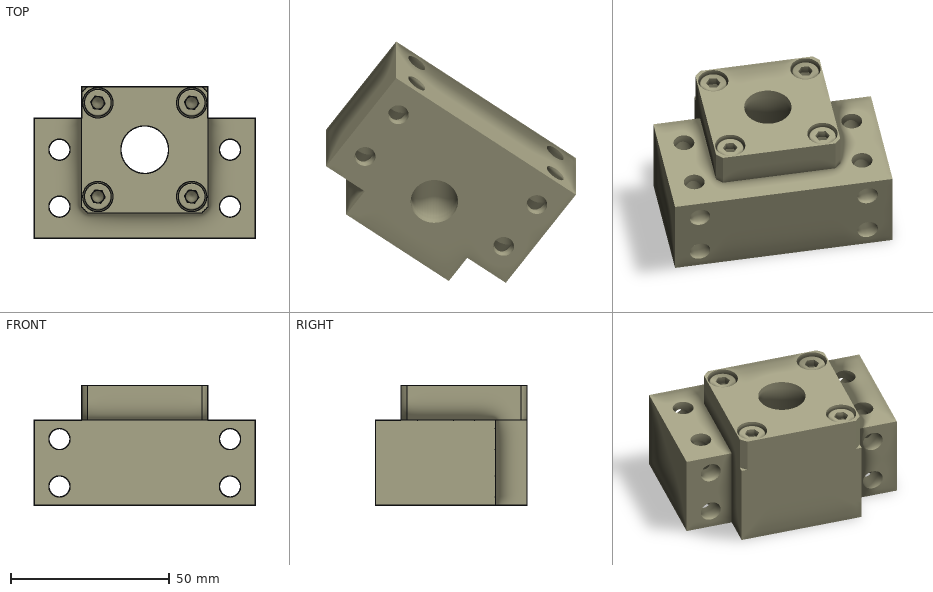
import cadquery as cq
import math

BLOCK_WIDTH = 70.0
BLOCK_DEPTH = 38.0
BLOCK_HEIGHT = 27.0
BOSS_WIDTH = 40.0
TOTAL_DEPTH = 48.0
TOTAL_HEIGHT = 38.0

BORE_DIAMETER = 15.0
BORE_Y = TOTAL_DEPTH - BOSS_WIDTH / 2

MOUNT_DIAMETER = 6.6
MOUNT_SPACING = 54.0
VERTICAL_HOLE_YS = (10.0, BORE_Y)
CROSS_HOLE_ZS = (6.0, 21.0)

COVER_THICKNESS = TOTAL_HEIGHT - BLOCK_HEIGHT
CORNER_CHAMFER = 1.9
COUNTERBORE_DIAMETER = 9.6

SCREW_SPACING = 29.7
SHANK_DIAMETER = 5.0
HEAD_DIAMETER = 8.5
HEAD_HEIGHT = 5.0
HEAD_FILLET = 0.5
HEAD_SINK = 1.0
THREAD_DEPTH = 10.0
SOCKET_ACROSS_FLATS = 4.0
SOCKET_DEPTH = 2.5
SOCKET_CONE_DEPTH = 1.2
SOCKET_ANGLE = -7.0

HEAD_TOP = TOTAL_HEIGHT - HEAD_SINK
HEAD_SEAT = HEAD_TOP - HEAD_HEIGHT
SHANK_END = BLOCK_HEIGHT - THREAD_DEPTH
SOCKET_ACROSS_CORNERS = SOCKET_ACROSS_FLATS / math.cos(math.radians(30))

SCREW_CENTRES = [
    (side * SCREW_SPACING / 2, BORE_Y + end * SCREW_SPACING / 2)
    for side in (-1, 1)
    for end in (-1, 1)
]
MOUNT_XS = (-MOUNT_SPACING / 2, MOUNT_SPACING / 2)


def upright_cylinders(centres, diameter, bottom, top):
    """Vertical cylinders at the given XY centres, between two heights."""
    return (
        cq.Workplane("XY", origin=(0, 0, bottom))
        .pushPoints(centres)
        .circle(diameter / 2)
        .extrude(top - bottom)
    )


def make_block():
    """T-shaped block with bore, crossing mounting holes and blind screw holes."""
    body = cq.Workplane("XY").box(BLOCK_WIDTH, BLOCK_DEPTH, BLOCK_HEIGHT, centered=(True, False, False))
    boss = cq.Workplane("XY").box(BOSS_WIDTH, TOTAL_DEPTH, BLOCK_HEIGHT, centered=(True, False, False))
    bore = upright_cylinders([(0, BORE_Y)], BORE_DIAMETER, 0, BLOCK_HEIGHT)
    vertical_centres = [(x, y) for x in MOUNT_XS for y in VERTICAL_HOLE_YS]
    vertical_holes = upright_cylinders(vertical_centres, MOUNT_DIAMETER, 0, BLOCK_HEIGHT)
    cross_holes = (
        cq.Workplane("XZ")
        .pushPoints([(x, z) for x in MOUNT_XS for z in CROSS_HOLE_ZS])
        .circle(MOUNT_DIAMETER / 2)
        .extrude(-BLOCK_DEPTH)
    )
    screw_holes = upright_cylinders(SCREW_CENTRES, SHANK_DIAMETER, SHANK_END, BLOCK_HEIGHT)
    return body.union(boss).cut(bore).cut(vertical_holes).cut(cross_holes).cut(screw_holes)


def make_cover():
    """Square plate with chamfered corners, a bore and four counterbored holes."""
    plate = (
        cq.Workplane("XY", origin=(0, BORE_Y, BLOCK_HEIGHT))
        .box(BOSS_WIDTH, BOSS_WIDTH, COVER_THICKNESS, centered=(True, True, False))
        .edges("|Z")
        .chamfer(CORNER_CHAMFER)
    )
    bore = upright_cylinders([(0, BORE_Y)], BORE_DIAMETER, BLOCK_HEIGHT, TOTAL_HEIGHT)
    screw_holes = upright_cylinders(SCREW_CENTRES, SHANK_DIAMETER, BLOCK_HEIGHT, TOTAL_HEIGHT)
    counterbores = upright_cylinders(SCREW_CENTRES, COUNTERBORE_DIAMETER, HEAD_SEAT, TOTAL_HEIGHT)
    return plate.cut(bore).cut(screw_holes).cut(counterbores)


def make_socket():
    """Hexagonal key socket on the Z axis, ending in a cone."""
    hexagon = (
        cq.Workplane("XY", origin=(0, 0, HEAD_TOP - SOCKET_DEPTH))
        .polygon(6, SOCKET_ACROSS_CORNERS)
        .extrude(SOCKET_DEPTH)
        .rotate((0, 0, 0), (0, 0, 1), SOCKET_ANGLE)
    )
    cone = cq.Workplane(
        cq.Solid.makeCone(
            SOCKET_ACROSS_FLATS / 2,
            0,
            SOCKET_CONE_DEPTH,
            pnt=cq.Vector(0, 0, HEAD_TOP - SOCKET_DEPTH),
            dir=cq.Vector(0, 0, -1),
        )
    )
    return hexagon.union(cone)


def make_screw(centre):
    """Socket head screw, its head seated in the counterbore at the given centre."""
    head = upright_cylinders([(0, 0)], HEAD_DIAMETER, HEAD_SEAT, HEAD_TOP)
    head = head.faces(">Z").edges().fillet(HEAD_FILLET)
    shank = upright_cylinders([(0, 0)], SHANK_DIAMETER, SHANK_END, HEAD_SEAT)
    x, y = centre
    return head.union(shank).cut(make_socket()).translate((x, y, 0))


block = make_block()
cover = make_cover()
screws = [make_screw(centre) for centre in SCREW_CENTRES]

result = cq.Compound.makeCompound([block.val(), cover.val(), *[screw.val() for screw in screws]])